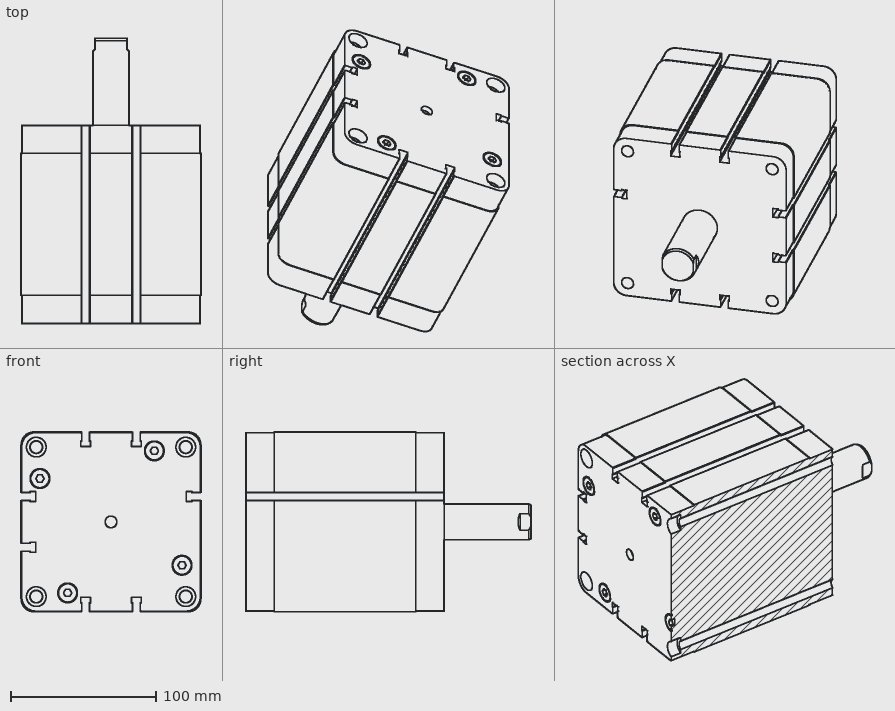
import cadquery as cq

total_length = 196.5
barrel_side = 124.0
cap_inset = 0.5
cap_side = barrel_side - 2 * cap_inset
corner_radius = 9.2
housing_length = 136.5
cap_length = 19.5

rod_diameter = 25.0
rod_tip_chamfer_length = 1.8
rod_tip_chamfer_height = 1.0
flat_width = 22.2
flat_length = 7.7

slot_offset = 17.5
slot_mouth_width = 5.3
slot_floor_width = 6.7
slot_mouth_depth = 6.3
slot_mouth_chamfer = 0.4
slot_depth = 10.0

mount_offset = 51.5
mount_diameter = 8.5
mount_bore_diameter = 13.5
mount_bore_depth = 8.0

screw_long_offset = 49.0
screw_short_offset = 29.9
screw_bore_diameter = 13.5
screw_head_diameter = 12.5
screw_gap_depth = 1.0
socket_corner_diameter = 5.7
socket_depth = 2.8

center_hole_diameter = 8.0
center_hole_depth = 4.0

front_y = -total_length / 2
rear_y = front_y + housing_length
tip_y = total_length / 2


def plane_at(y):
    """XZ plane at the given Y, with X right, Z up and its normal pointing to -Y."""
    return cq.Workplane("XZ", origin=(0, y, 0))


def t_slot(side, start_y, length):
    """Slot in the +Z face of a block of the given side, on the YZ mid-plane."""
    face_z = side / 2
    floor_z = barrel_side / 2 - slot_depth
    step_z = barrel_side / 2 - slot_mouth_depth
    mouth_x = slot_mouth_width / 2
    floor_x = slot_floor_width / 2
    outer_x = mouth_x + slot_mouth_chamfer
    right_side = [
        (floor_x, floor_z),
        (floor_x, step_z),
        (mouth_x, step_z),
        (mouth_x, face_z - slot_mouth_chamfer),
        (outer_x, face_z),
    ]
    left_side = [(-x, z) for x, z in reversed(right_side)]
    return plane_at(start_y).polyline(right_side + left_side).close().extrude(-length)


def cut_t_slots(block, side, start_y, length):
    """Two slots on the +Z, -Z and -X sides, and only the upper one on +X."""
    slot = t_slot(side, start_y, length)
    left_slot = slot.translate((-slot_offset, 0, 0))
    right_slot = slot.translate((slot_offset, 0, 0))
    for turn in (0, 180, 270):
        block = block.cut(left_slot.rotate((0, 0, 0), (0, 1, 0), turn))
        block = block.cut(right_slot.rotate((0, 0, 0), (0, 1, 0), turn))
    return block.cut(left_slot.rotate((0, 0, 0), (0, 1, 0), 90))


def slotted_block(side, start_y, length):
    block = plane_at(start_y).rect(side, side).extrude(-length)
    block = block.edges("|Y").fillet(corner_radius)
    return cut_t_slots(block, side, start_y, length)


def make_housing():
    front_cap = slotted_block(cap_side, front_y, cap_length)
    barrel = slotted_block(barrel_side, front_y + cap_length, housing_length - 2 * cap_length)
    rear_cap = slotted_block(cap_side, rear_y - cap_length, cap_length)
    return barrel.union(front_cap).union(rear_cap)


def make_rod():
    rod_length = tip_y - rear_y
    rod = plane_at(rear_y).circle(rod_diameter / 2).extrude(-rod_length)
    rod = rod.faces(">Y").chamfer(rod_tip_chamfer_length, rod_tip_chamfer_height)
    flat_x = flat_width / 2
    flat_end_y = tip_y - flat_length
    cut_depth = rod_diameter / 2 - flat_x
    flat_cut = (
        cq.Workplane("XY")
        .polyline([
            (flat_x, tip_y),
            (flat_x, flat_end_y),
            (flat_x + cut_depth, flat_end_y - cut_depth),
            (flat_x + cut_depth, tip_y),
        ])
        .close()
        .extrude(rod_diameter / 2, both=True)
    )
    return rod.cut(flat_cut).cut(flat_cut.mirror("YZ"))


def cut_mounting_holes(body):
    spacing = 2 * mount_offset
    front = plane_at(front_y).rarray(spacing, spacing, 2, 2)
    body = body.cut(front.circle(mount_diameter / 2).extrude(-housing_length))
    return body.cut(front.circle(mount_bore_diameter / 2).extrude(-mount_bore_depth))


def cut_cap_screws(body):
    """Ring gap around each screw head and the hex socket in its middle."""
    centers = [
        (screw_short_offset, screw_long_offset),
        (-screw_long_offset, screw_short_offset),
        (-screw_short_offset, -screw_long_offset),
        (screw_long_offset, -screw_short_offset),
    ]
    front = plane_at(front_y).pushPoints(centers)
    bores = front.circle(screw_bore_diameter / 2).extrude(-screw_gap_depth)
    heads = front.circle(screw_head_diameter / 2).extrude(-screw_gap_depth)
    sockets = front.polygon(6, socket_corner_diameter).extrude(-socket_depth)
    return body.cut(bores.cut(heads)).cut(sockets)


def cut_center_hole(body):
    return body.cut(plane_at(front_y).circle(center_hole_diameter / 2).extrude(-center_hole_depth))


housing = cut_mounting_holes(make_housing())
housing = cut_cap_screws(housing)
housing = cut_center_hole(housing)
result = housing.union(make_rod())